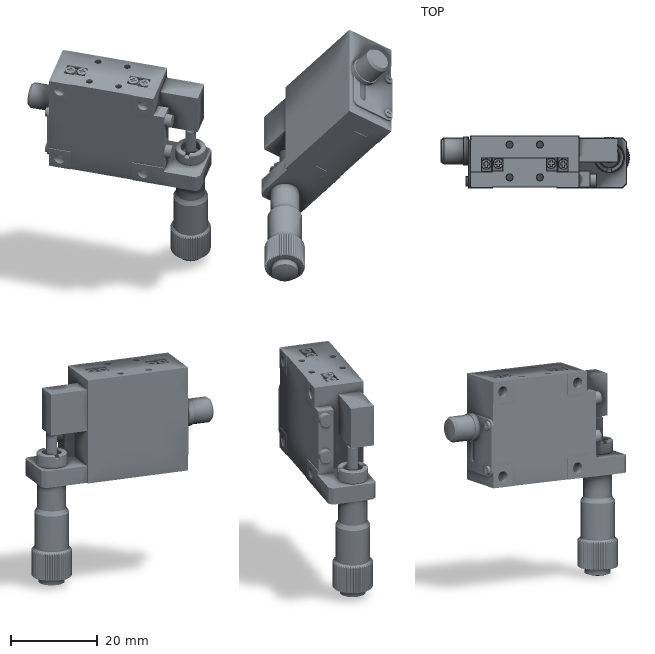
import cadquery as cq
import math


STAGE_LENGTH = 25.0
STAGE_DEPTH = 12.0
STAGE_HEIGHT = 25.0
SPLIT_Y = 3.65
CHANNEL_BACK_Y = 6.9

RAIL_WIDTH = 2.5
TABLE_RAIL_X = 2.5
BASE_RAIL_X = TABLE_RAIL_X + RAIL_WIDTH
RAIL_GAP = 0.15
TABLE_RAIL_CLEARANCE = 0.05
BASE_RAIL_FRONT_Y = 3.9
RAIL_RECESS = 0.75
RAIL_SCREW_R = 1.15
TABLE_SCREW_INSET = 1.1
BASE_SCREW_INSET = 1.4
TABLE_SCREW_Y = 5.45
BASE_SCREW_Y = 5.65
RAIL_SCREW_HEIGHT = 0.65
RAIL_CROSS_SPAN = 1.5
RAIL_CROSS_WIDTH = 0.5

TOP_HOLE_R = 0.8
TOP_HOLE_PITCH = 7.0
TOP_HOLE_DEPTH = 3.0
BASE_HOLE_Y = 2.4
TABLE_HOLE_Y = 9.95

PAD_SIZE = 5.1
PAD_HEIGHT = 0.15
FLANGE_LENGTH = 2.5
FLANGE_HEIGHT = 20.0
FLANGE_BACK_Y = BASE_RAIL_FRONT_Y
MOUNT_HOLE_R = 1.25
MOUNT_HOLE_INSET = 2.5
FLANGE_SCREW_R = 1.5
FLANGE_SCREW_HEIGHT = 1.55
FLANGE_SCREW_Y = PAD_HEIGHT + FLANGE_SCREW_R
FLANGE_SCREW_ZS = (9.0, 18.05)

ARM_END_X = 36.0
ARM_BACK_Y = 11.45
ARM_HEIGHT = 4.05
ARM_CHAMFER = 0.9

STOP_END_X = 34.0
STOP_FRONT_Y = 5.9
STOP_BOTTOM_Z = 12.6
STOP_TOP_Z = 22.55

MIC_X = 32.0
MIC_Y = 7.0
TIP_R = 0.5
TIP_HEIGHT = 0.25
SPINDLE_R = 1.25
SPINDLE_CHAMFER = 0.15
NUT_R = 3.5
NUT_TOP_Z = 7.1
NUT_CHAMFER = 0.2
NUT_BORE_R = 2.3
NUT_BORE_CHAMFER = 0.15
NUT_BORE_FLOOR_Z = 5.0
NUT_SLOT_WIDTH = 1.0
NUT_SLOT_DEPTH = 0.8
STEM_R = 2.5
SLEEVE_R = 3.35
SLEEVE_END_Z = -6.3
THIMBLE_R = 4.0
THIMBLE_START_Z = -7.35
KNURL_R = 4.65
KNURL_TOP_Z = -16.0
KNURL_BEVEL_HEIGHT = 0.55
KNURL_BOTTOM_Z = -22.9
KNURL_CHAMFER = 0.2
KNURL_TEETH = 50
KNURL_DEPTH = 0.4
KNURL_LAND = 0.4
CAP_R = 3.0
CAP_EDGE_Z = -24.4
CAP_END_Z = -25.0

PLATE_THICKNESS = 0.5
PLATE_DEPTH = 11.05
PLATE_BOTTOM_Z = 2.55
PLATE_HEIGHT = 13.5
PLATE_CORNER_R = 1.5
SLOT_R = 0.8
SLOT_BOTTOM_Z = 5.6
KNOB_Y = 8.5
KNOB_Z = 13.0
KNOB_R = 3.0
KNOB_END_X = -6.8
KNOB_CHAMFER_WIDTH = 0.5
KNOB_CHAMFER_LENGTH = 0.65
COLLAR_R = 3.25
COLLAR_END_X = -1.65
CLAMP_SCREW_R = 1.05
CLAMP_SCREW_HEIGHT = 0.6
CLAMP_CROSS_SPAN = 1.1
CLAMP_CROSS_WIDTH = 0.35

CROSS_DEPTH = 0.3
TOP_HOLE_XS = (STAGE_LENGTH / 2 - TOP_HOLE_PITCH / 2, STAGE_LENGTH / 2 + TOP_HOLE_PITCH / 2)


def block(x0, x1, y0, y1, z0, z1):
    """Box between two opposite corners."""
    return cq.Workplane("XY").box(x1 - x0, y1 - y0, z1 - z0, centered=False).translate((x0, y0, z0))


def cylinder(centre, direction, radius, length):
    """Cylinder that starts at centre and runs along direction."""
    return cq.Workplane(cq.Solid.makeCylinder(radius, length, cq.Vector(*centre), cq.Vector(*direction)))


def cross_head(radius, height, span, width):
    """Round screw head standing on z = 0, with a cross recess in its top."""
    recess = (
        cq.Workplane("XY", origin=(0, 0, height))
        .rect(span, width)
        .extrude(-CROSS_DEPTH)
        .union(cq.Workplane("XY", origin=(0, 0, height)).rect(width, span).extrude(-CROSS_DEPTH))
    )
    return cq.Workplane("XY").circle(radius).extrude(height).cut(recess)


def rail_screw(x, y):
    """End screw of a rail, on the pocket floor."""
    head = cross_head(RAIL_SCREW_R, RAIL_SCREW_HEIGHT, RAIL_CROSS_SPAN, RAIL_CROSS_WIDTH)
    return head.translate((x, y, STAGE_HEIGHT - RAIL_RECESS))


def from_end(x, right_end):
    """X place at distance x from the left end of the stage, or from its right end."""
    return STAGE_LENGTH - x if right_end else x


def end_block(x0, x1, right_end, y0, y1, z0, z1):
    """Box whose X places are distances from one end of the stage."""
    low_x, high_x = sorted((from_end(x0, right_end), from_end(x1, right_end)))
    return block(low_x, high_x, y0, y1, z0, z1)


def drill_top_holes(body, y):
    """Pair of blind holes in the top face."""
    for x in TOP_HOLE_XS:
        body = body.cut(cylinder((x, y, STAGE_HEIGHT), (0, 0, -1), TOP_HOLE_R, TOP_HOLE_DEPTH))
    return body


def make_table():
    rail_floor = STAGE_HEIGHT - RAIL_RECESS
    body = block(0, STAGE_LENGTH, SPLIT_Y, STAGE_DEPTH, 0, STAGE_HEIGHT)
    body = body.cut(
        block(TABLE_RAIL_X, STAGE_LENGTH - TABLE_RAIL_X, SPLIT_Y, CHANNEL_BACK_Y, 0, STAGE_HEIGHT)
    )
    for right_end in (False, True):
        rail_end_x = BASE_RAIL_X - RAIL_GAP
        rail_front_y = SPLIT_Y + TABLE_RAIL_CLEARANCE
        rail = end_block(TABLE_RAIL_X, rail_end_x, right_end, rail_front_y, CHANNEL_BACK_Y, 0, rail_floor)
        screw_x = from_end(TABLE_RAIL_X + TABLE_SCREW_INSET, right_end)
        body = body.union(rail)
        body = body.union(rail_screw(screw_x, TABLE_SCREW_Y))
    stop = block(STAGE_LENGTH, STOP_END_X, STOP_FRONT_Y, ARM_BACK_Y, STOP_BOTTOM_Z, STOP_TOP_Z)
    return drill_top_holes(body.union(stop), TABLE_HOLE_Y)


def make_arm():
    """Arm that carries the micrometer, bored for its stem."""
    arm = block(STAGE_LENGTH, ARM_END_X, 0, ARM_BACK_Y, 0, ARM_HEIGHT)
    arm = arm.edges("|Z and >X").chamfer(ARM_CHAMFER)
    return arm.cut(cylinder((MIC_X, MIC_Y, 0), (0, 0, 1), STEM_R, ARM_HEIGHT))


def make_base():
    rail_floor = STAGE_HEIGHT - RAIL_RECESS
    body = block(0, STAGE_LENGTH, PAD_HEIGHT, SPLIT_Y, 0, STAGE_HEIGHT)
    flange_end = STAGE_LENGTH + FLANGE_LENGTH
    body = body.union(block(STAGE_LENGTH, flange_end, PAD_HEIGHT, FLANGE_BACK_Y, 0, FLANGE_HEIGHT))
    body = body.union(
        block(BASE_RAIL_X, STAGE_LENGTH - BASE_RAIL_X, SPLIT_Y, CHANNEL_BACK_Y, 0, STAGE_HEIGHT)
    )
    for right_end in (False, True):
        pocket = end_block(
            BASE_RAIL_X, BASE_RAIL_X + RAIL_WIDTH, right_end,
            BASE_RAIL_FRONT_Y, CHANNEL_BACK_Y, rail_floor, STAGE_HEIGHT,
        )
        screw_x = from_end(BASE_RAIL_X + BASE_SCREW_INSET, right_end)
        body = body.cut(pocket).union(rail_screw(screw_x, BASE_SCREW_Y))
    for x in (0, STAGE_LENGTH - PAD_SIZE):
        for z in (0, STAGE_HEIGHT - PAD_SIZE):
            body = body.union(block(x, x + PAD_SIZE, 0, PAD_HEIGHT, z, z + PAD_SIZE))
    body = body.union(block(STAGE_LENGTH, flange_end, 0, PAD_HEIGHT, 0, PAD_SIZE))
    body = body.union(make_arm())
    for x in (MOUNT_HOLE_INSET, STAGE_LENGTH - MOUNT_HOLE_INSET):
        for z in (MOUNT_HOLE_INSET, STAGE_HEIGHT - MOUNT_HOLE_INSET):
            body = body.cut(cylinder((x, 0, z), (0, 1, 0), MOUNT_HOLE_R, SPLIT_Y))
    for z in FLANGE_SCREW_ZS:
        head = cylinder((flange_end, FLANGE_SCREW_Y, z), (1, 0, 0), FLANGE_SCREW_R, FLANGE_SCREW_HEIGHT)
        body = body.union(head)
    return drill_top_holes(body, BASE_HOLE_Y)


def micrometer_profile():
    """Half section (radius, z) from the tip of the spindle down to the domed end cap."""
    shoulder_z = STOP_BOTTOM_Z - TIP_HEIGHT
    cap_sag = CAP_EDGE_Z - CAP_END_Z
    dome_r = (CAP_R**2 + cap_sag**2) / (2 * cap_sag)
    mid_r = CAP_R / 2
    mid_z = CAP_END_Z + dome_r - math.sqrt(dome_r**2 - mid_r**2)
    spindle_and_nut = [
        (0, STOP_BOTTOM_Z),
        (TIP_R, STOP_BOTTOM_Z),
        (TIP_R, shoulder_z),
        (SPINDLE_R - SPINDLE_CHAMFER, shoulder_z),
        (SPINDLE_R, shoulder_z - SPINDLE_CHAMFER),
        (SPINDLE_R, NUT_BORE_FLOOR_Z),
        (NUT_BORE_R, NUT_BORE_FLOOR_Z),
        (NUT_BORE_R, NUT_TOP_Z - NUT_BORE_CHAMFER),
        (NUT_BORE_R + NUT_BORE_CHAMFER, NUT_TOP_Z),
        (NUT_R - NUT_CHAMFER, NUT_TOP_Z),
        (NUT_R, NUT_TOP_Z - NUT_CHAMFER),
        (NUT_R, ARM_HEIGHT + NUT_CHAMFER),
        (NUT_R - NUT_CHAMFER, ARM_HEIGHT),
        (STEM_R, ARM_HEIGHT),
        (STEM_R, 0),
    ]
    sleeve_and_thimble = [
        (SLEEVE_R, 0),
        (SLEEVE_R, SLEEVE_END_Z),
        (THIMBLE_R, THIMBLE_START_Z),
        (THIMBLE_R, KNURL_TOP_Z),
        (KNURL_R, KNURL_TOP_Z - KNURL_BEVEL_HEIGHT),
        (KNURL_R, KNURL_BOTTOM_Z + KNURL_CHAMFER),
        (KNURL_R - KNURL_CHAMFER, KNURL_BOTTOM_Z),
        (CAP_R, KNURL_BOTTOM_Z),
        (CAP_R, CAP_EDGE_Z),
    ]
    return (
        cq.Workplane("XZ")
        .polyline(spindle_and_nut + sleeve_and_thimble)
        .threePointArc((mid_r, mid_z), (0, CAP_END_Z))
        .close()
    )


def knurl_cutter():
    """V grooves around the knurl, as one ring outside a toothed outline."""
    pitch = 2 * math.pi / KNURL_TEETH
    half_land = KNURL_LAND * pitch / 2
    root_r = KNURL_R - KNURL_DEPTH
    points = []
    for tooth in range(KNURL_TEETH):
        middle = tooth * pitch
        corners = (
            (KNURL_R, middle - half_land),
            (KNURL_R, middle + half_land),
            (root_r, middle + pitch / 2),
        )
        for radius, angle in corners:
            points.append((radius * math.cos(angle), radius * math.sin(angle)))
    height = KNURL_TOP_Z - KNURL_BOTTOM_Z
    start = cq.Workplane("XY", origin=(0, 0, KNURL_BOTTOM_Z))
    ring = start.circle(KNURL_R + KNURL_DEPTH).extrude(height)
    return ring.cut(start.polyline(points).close().extrude(height))


def make_micrometer():
    body = micrometer_profile().revolve(360, (0, 0), (0, 1)).cut(knurl_cutter())
    nut_slot = block(
        -NUT_SLOT_WIDTH / 2, NUT_SLOT_WIDTH / 2, -NUT_R, NUT_R, NUT_TOP_Z - NUT_SLOT_DEPTH, NUT_TOP_Z
    )
    spindle_keep = cylinder((0, 0, NUT_BORE_FLOOR_Z), (0, 0, 1), SPINDLE_R, NUT_TOP_Z)
    return body.cut(nut_slot.cut(spindle_keep)).translate((MIC_X, MIC_Y, 0))


def make_clamp():
    plate_top_z = PLATE_BOTTOM_Z + PLATE_HEIGHT
    plate = block(-PLATE_THICKNESS, 0, 0, PLATE_DEPTH, PLATE_BOTTOM_Z, plate_top_z)
    plate = plate.edges("|X").fillet(PLATE_CORNER_R)
    slot = block(-PLATE_THICKNESS, 0, KNOB_Y - SLOT_R, KNOB_Y + SLOT_R, SLOT_BOTTOM_Z, KNOB_Z)
    for z in (SLOT_BOTTOM_Z, KNOB_Z):
        slot = slot.union(cylinder((-PLATE_THICKNESS, KNOB_Y, z), (1, 0, 0), SLOT_R, PLATE_THICKNESS))
    body = plate.cut(slot)

    collar_length = -PLATE_THICKNESS - COLLAR_END_X
    body = body.union(cylinder((-PLATE_THICKNESS, KNOB_Y, KNOB_Z), (-1, 0, 0), COLLAR_R, collar_length))
    knob = cylinder((COLLAR_END_X, KNOB_Y, KNOB_Z), (-1, 0, 0), KNOB_R, COLLAR_END_X - KNOB_END_X)
    knob = knob.faces("<X").edges().chamfer(KNOB_CHAMFER_LENGTH, KNOB_CHAMFER_WIDTH)
    body = body.union(knob)

    head = cross_head(CLAMP_SCREW_R, CLAMP_SCREW_HEIGHT, CLAMP_CROSS_SPAN, CLAMP_CROSS_WIDTH)
    head = head.rotate((0, 0, 0), (0, 1, 0), -90)
    for z in (PLATE_BOTTOM_Z + PLATE_CORNER_R, plate_top_z - PLATE_CORNER_R):
        body = body.union(head.translate((-PLATE_THICKNESS, PLATE_CORNER_R, z)))
    return body


table = make_table()
base = make_base()
micrometer = make_micrometer()
clamp = make_clamp()

result = cq.Compound.makeCompound([table.val(), base.val(), micrometer.val(), clamp.val()])